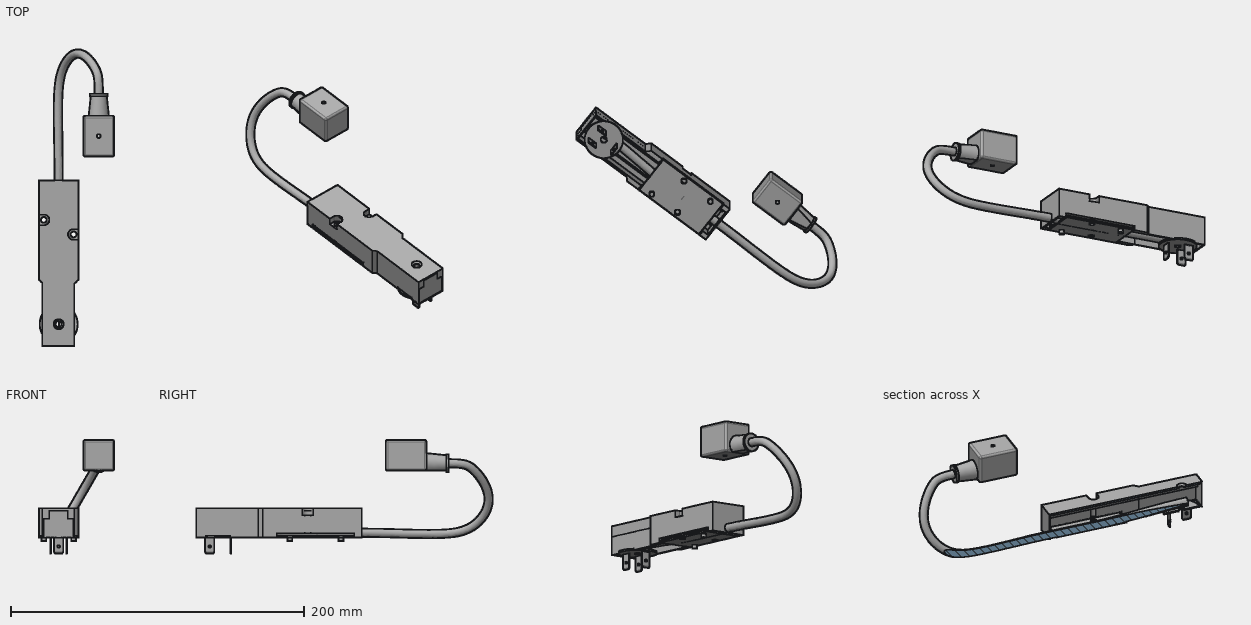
import cadquery as cq


housing_width = 27.1
housing_length = 113.0
housing_height = 20.0
nose_left = 2.2
nose_right = 24.3
shoulder_y = 45.3
axis_x = housing_width / 2

cavity_width = 20.0
cavity_shoulder_z = 12.8
channel_width = 12.5
channel_top_z = 18.2
front_wall = 0.6
rear_wall = 1.0

screw_offset_x = 10.1
screw_diameter = 3.8
screw_head_diameter = 7.3
screw_head_depth = 4.9
left_screw_y = 86.0
right_screw_y = 76.1
left_screw_x = axis_x - screw_offset_x
right_screw_x = axis_x + screw_offset_x

window_rear_y = 107.7
window_length = 52.6
window_height = 3.0
window_middle_y = window_rear_y - window_length / 2
plate_end_gap = 0.6
plate_thickness = 1.2
peg_diameter = 3.5
peg_length = 2.5
peg_spacing_y = 34.8
peg_middle_y = 81.4

disc_diameter = 26.1
disc_thickness = 1.2
connector_y = 15.0
center_screw_diameter = 4.3
center_screw_sink_diameter = 6.9
blade_width = 6.5
blade_thickness = 0.8
blade_length = 11.0
blade_tip_length = 1.2
blade_tip_width = 4.9
blade_tip_thickness = 0.5
blade_hole_diameter = 1.6
blade_hole_depth = 6.0
side_blade_offset_x = 5.5
side_blade_y = 9.3
front_blade_y = 23.7

plug_size = 21.0
plug_length = 28.0
plug_left_x = 30.4
plug_front_y = 129.2
plug_bottom_z = 45.5
plug_edge_radius = 1.5
plug_hole_diameter = 2.5
plug_axis_x = plug_left_x + plug_size / 2
plug_rear_y = plug_front_y + plug_length
boot_axis_z = 50.6
boot_base_diameter = 14.0
boot_neck_diameter = 11.1
boot_length = 13.4
flange_diameter = 12.3
flange_thickness = 1.6
boot_end_y = plug_rear_y + boot_length + flange_thickness

cable_diameter = 5.9
cable_z = 3.2
cable_straight_end_y = 82.4
cable_inner_end = (16.5, 10.1, 4.7)
sag_y = 163.4
sag_z = 2.5
lower_bend_y = 185.5
lower_bend_z = 6.0
bend_y = 199.5
bend_z = 26.7
upper_bend_y = 188.0
upper_bend_z = 47.2


def upright_cylinder(diameter, x, y, bottom_z, top_z):
    return (
        cq.Workplane("XY", origin=(x, y, bottom_z))
        .circle(diameter / 2)
        .extrude(top_z - bottom_z)
    )


def circle_square_to_y(diameter, x, y, z):
    return cq.Workplane("XZ", origin=(x, y, z)).circle(diameter / 2)


def make_cable():
    def bend_plane_x(z):
        """The outer loop lies in one tilted plane, so x follows z."""
        return axis_x + (plug_axis_x - axis_x) * (z - cable_z) / (boot_axis_z - cable_z)

    straight_start = cq.Vector(axis_x, cable_straight_end_y, cable_z)
    straight_end = cq.Vector(axis_x, housing_length, cable_z)
    toward_rear = cq.Vector(0, 1, 0)
    inner_run = cq.Edge.makeSpline(
        [cq.Vector(*cable_inner_end), straight_start],
        tangents=[toward_rear, toward_rear],
    )
    straight_run = cq.Edge.makeLine(straight_start, straight_end)
    bend_points = [
        (sag_y, sag_z),
        (lower_bend_y, lower_bend_z),
        (bend_y, bend_z),
        (upper_bend_y, upper_bend_z),
        (boot_end_y, boot_axis_z),
    ]
    outer_loop = cq.Edge.makeSpline(
        [straight_end, *[cq.Vector(bend_plane_x(z), y, z) for y, z in bend_points]],
        tangents=[toward_rear, -toward_rear],
    )
    path = cq.Wire.assembleEdges([inner_run, straight_run, outer_loop])
    return circle_square_to_y(cable_diameter, *cable_inner_end).sweep(cq.Workplane(path))


def make_plug():
    box = (
        cq.Workplane("XY", origin=(plug_axis_x, plug_front_y + plug_length / 2, plug_bottom_z))
        .box(plug_size, plug_length, plug_size, centered=(True, True, False))
        .edges()
        .fillet(plug_edge_radius)
    )
    boot = (
        cq.Workplane("XZ", origin=(plug_axis_x, plug_rear_y, boot_axis_z))
        .circle(boot_base_diameter / 2)
        .workplane(offset=-boot_length)
        .circle(boot_neck_diameter / 2)
        .loft()
    )
    above_underside = cq.Workplane("XY", origin=(plug_axis_x, plug_rear_y, plug_bottom_z)).box(
        plug_size, 2 * boot_length, plug_size, centered=(True, True, False)
    )
    flange_face = circle_square_to_y(flange_diameter, plug_axis_x, boot_end_y, boot_axis_z)
    flange = flange_face.extrude(flange_thickness)
    hole = upright_cylinder(
        plug_hole_diameter,
        plug_axis_x,
        plug_front_y + plug_length / 2,
        plug_bottom_z,
        plug_bottom_z + plug_size,
    )
    return box.union(boot.intersect(above_underside)).union(flange).cut(hole)


def make_blade():
    """An upright blade centred on the origin, its broad faces square to X and its tip tapered."""
    shank_length = blade_length - blade_tip_length
    shank = cq.Workplane("XY").rect(blade_thickness, blade_width).extrude(-shank_length)
    tip = (
        cq.Workplane("XY", origin=(0, 0, -shank_length))
        .rect(blade_thickness, blade_width)
        .workplane(offset=-blade_tip_length)
        .rect(blade_tip_thickness, blade_tip_width)
        .loft()
    )
    hole = (
        cq.Workplane("YZ", origin=(0, 0, -blade_hole_depth))
        .circle(blade_hole_diameter / 2)
        .extrude(blade_thickness, both=True)
    )
    return shank.union(tip).cut(hole)


def make_connector():
    connector = upright_cylinder(disc_diameter, axis_x, connector_y, 0, disc_thickness)
    connector = connector.cut(
        upright_cylinder(center_screw_diameter, axis_x, connector_y, 0, disc_thickness)
    )
    for side in (-1, 1):
        side_blade = make_blade().translate((axis_x + side * side_blade_offset_x, side_blade_y, 0))
        connector = connector.union(side_blade)
    front_blade = make_blade().rotate((0, 0, 0), (0, 0, 1), 90)
    return connector.union(front_blade.translate((axis_x, front_blade_y, 0)))


def mounting_screw_holes(bottom_z, top_z):
    left_hole = upright_cylinder(screw_diameter, left_screw_x, left_screw_y, bottom_z, top_z)
    right_hole = upright_cylinder(screw_diameter, right_screw_x, right_screw_y, bottom_z, top_z)
    return left_hole.union(right_hole)


def make_base_plate(cable):
    plate = cq.Workplane("XY", origin=(axis_x, window_middle_y, 0)).box(
        housing_width, window_length - 2 * plate_end_gap, plate_thickness, centered=(True, True, False)
    )
    for corner in (-1, 1):
        peg_x = axis_x + corner * screw_offset_x
        peg_y = peg_middle_y + corner * peg_spacing_y / 2
        plate = plate.union(upright_cylinder(peg_diameter, peg_x, peg_y, -peg_length, plate_thickness))
    return plate.cut(mounting_screw_holes(0, plate_thickness)).cut(cable)


def t_cavity():
    half_width = cavity_width / 2
    half_channel = channel_width / 2
    outline = [
        (-half_width, 0),
        (-half_width, cavity_shoulder_z),
        (-half_channel, cavity_shoulder_z),
        (-half_channel, channel_top_z),
        (half_channel, channel_top_z),
        (half_channel, cavity_shoulder_z),
        (half_width, cavity_shoulder_z),
        (half_width, 0),
    ]
    return (
        cq.Workplane("XZ", origin=(axis_x, front_wall, 0))
        .polyline(outline)
        .close()
        .extrude(front_wall + rear_wall - housing_length)
    )


def screw_head_pocket(x, y, side_x):
    """A round pocket in the top, running out through the side wall at side_x."""
    floor_z = housing_height - screw_head_depth
    pocket = upright_cylinder(screw_head_diameter, x, y, floor_z, housing_height)
    opening = cq.Workplane("XY", origin=((x + side_x) / 2, y, floor_z)).box(
        abs(side_x - x), screw_head_diameter, screw_head_depth, centered=(True, True, False)
    )
    return pocket.union(opening)


def center_screw_hole():
    sink_depth = (center_screw_sink_diameter - center_screw_diameter) / 2
    sink = (
        cq.Workplane("XY", origin=(axis_x, connector_y, housing_height))
        .circle(center_screw_sink_diameter / 2)
        .workplane(offset=-sink_depth)
        .circle(center_screw_diameter / 2)
        .loft()
    )
    bore = upright_cylinder(center_screw_diameter, axis_x, connector_y, 0, housing_height)
    return bore.union(sink)


def make_housing(cable):
    shoulder_right = housing_width - nose_right
    outline = [
        (0, housing_length),
        (0, shoulder_y),
        (nose_left, shoulder_y - nose_left),
        (nose_left, 0),
        (nose_right, 0),
        (nose_right, shoulder_y - shoulder_right),
        (housing_width, shoulder_y),
        (housing_width, housing_length),
    ]
    window = cq.Workplane("XY", origin=(axis_x, window_middle_y, 0)).box(
        housing_width, window_length, window_height, centered=(True, True, False)
    )
    disc_recess = upright_cylinder(disc_diameter, axis_x, connector_y, 0, disc_thickness)
    return (
        cq.Workplane("XY")
        .polyline(outline)
        .close()
        .extrude(housing_height)
        .cut(t_cavity())
        .cut(window)
        .cut(disc_recess)
        .cut(mounting_screw_holes(0, housing_height))
        .cut(screw_head_pocket(left_screw_x, left_screw_y, 0))
        .cut(screw_head_pocket(right_screw_x, right_screw_y, housing_width))
        .cut(center_screw_hole())
        .cut(cable)
    )


cable = make_cable()
plug = make_plug()
connector = make_connector()
base_plate = make_base_plate(cable)
housing = make_housing(cable)

bodies = [housing, base_plate, connector, cable, plug]
result = cq.Compound.makeCompound([body.solids().val() for body in bodies])